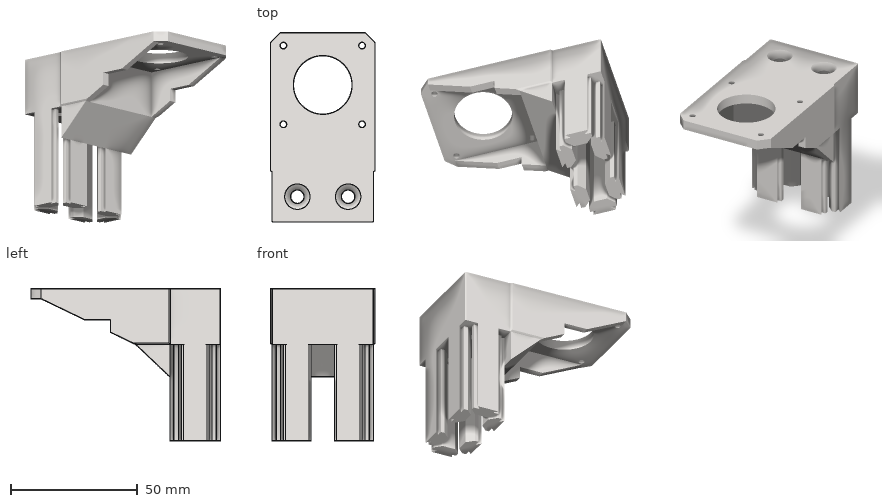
import cadquery as cq

pitch = 20.0
block_width = 2 * pitch
block_depth = pitch
block_height = 22.0
corner_chamfer = 0.3

motor_size = 41.3
total_depth = 74.66
motor_y = total_depth - motor_size / 2
motor_front_y = total_depth - motor_size
plate_thickness = 4.0
motor_corner = 4.0
boss_diameter = 23.0
screw_spacing = 31.0
screw_diameter = 2.5
wall_thickness = 3.0
window_length = 21.3
window_top = -12.3

overhang = (motor_size - block_width) / 2
bevel_start_y = block_depth - corner_chamfer
bevel_end_y = bevel_start_y + overhang

gusset_bottom = -34.7

fixing_diameter = 5.2
countersink_diameter = 10.0
countersink_angle = 85.0

key_bottom = -59.92
key_mouth = 9.2
key_vee_depth = 1.5
key_lip_depth = 1.7
key_flange = 10.9
key_flange_depth = 3.35
key_depth = 6.1


def make_block():
    block = cq.Workplane("XY").box(block_width, block_depth, block_height, centered=(True, False, False))
    block = block.translate((0, 0, -block_height))
    return block.faces("<Y").edges("|Z").chamfer(corner_chamfer)


def make_gusset():
    profile = [
        (bevel_start_y, -overhang),
        (motor_front_y, -overhang),
        (motor_front_y, -block_height),
        (block_depth, gusset_bottom),
        (block_depth, -block_height),
        (bevel_start_y, -block_height),
    ]
    return cq.Workplane("YZ").polyline(profile).close().extrude(block_width / 2, both=True)


def make_motor_mount():
    half_width = motor_size / 2
    slope_start_y = total_depth - motor_corner
    outline = [
        (-block_width / 2, bevel_start_y),
        (-half_width, bevel_end_y),
        (-half_width, slope_start_y),
        (motor_corner - half_width, total_depth),
        (half_width - motor_corner, total_depth),
        (half_width, slope_start_y),
        (half_width, bevel_end_y),
        (block_width / 2, bevel_start_y),
    ]
    side = [
        (bevel_start_y, 0),
        (total_depth, 0),
        (total_depth, -plate_thickness),
        (slope_start_y, -plate_thickness),
        (motor_front_y, -block_height),
        (bevel_start_y, -block_height),
    ]
    end = [
        (-half_width, 0),
        (half_width, 0),
        (half_width, overhang - block_height),
        (block_width / 2, -block_height),
        (-block_width / 2, -block_height),
        (-half_width, overhang - block_height),
    ]
    mount = cq.Workplane("XY").polyline(outline).close().extrude(-block_height)
    mount = mount.intersect(cq.Workplane("YZ").polyline(side).close().extrude(motor_size, both=True))
    return mount.intersect(cq.Workplane("XZ").polyline(end).close().extrude(-total_depth))


def box_below(width, front_y, top_z):
    """Cutting box from front_y to the far end of the part, reaching down from top_z."""
    box = cq.Workplane("XY").box(width, total_depth - front_y, block_height, centered=(True, False, False))
    return box.translate((0, front_y, top_z - block_height))


def make_key():
    """Key at the middle of the front face, pointing into +Y."""
    mouth = key_mouth / 2
    neck = mouth - key_vee_depth
    flange = key_flange / 2
    tip = flange - (key_depth - key_flange_depth)
    right_half = [
        (mouth, 0),
        (neck, key_vee_depth),
        (neck, key_lip_depth),
        (flange, key_lip_depth),
        (flange, key_flange_depth),
        (tip, key_depth),
    ]
    left_half = [(-x, y) for x, y in reversed(right_half)]
    key = cq.Workplane("XY").workplane(offset=key_bottom).polyline(right_half + left_half).close()
    return key.extrude(-block_height - key_bottom)


def place_key(x, y, turn):
    return make_key().rotate((0, 0, 0), (0, 0, 1), turn).translate((x, y, 0))


def add_keys(body):
    for side in (-1, 1):
        body = body.union(place_key(side * pitch / 2, 0, 0))
        body = body.union(place_key(side * pitch / 2, block_depth, 180))
        body = body.union(place_key(side * block_width / 2, block_depth / 2, side * 90))
    return body


def cut_fixing_holes(body):
    spots = [(-pitch / 2, block_depth / 2), (pitch / 2, block_depth / 2)]
    top = cq.Workplane("XY").add(body).faces(">Z").workplane(origin=(0, 0, 0))
    return top.pushPoints(spots).cskHole(fixing_diameter, countersink_diameter, countersink_angle, block_height)


def cut_motor_holes(body):
    centre = cq.Workplane("XY").center(0, motor_y)
    boss = centre.circle(boss_diameter / 2).extrude(-plate_thickness)
    screws = centre.rect(screw_spacing, screw_spacing, forConstruction=True).vertices()
    return body.cut(boss).cut(screws.circle(screw_diameter / 2).extrude(-plate_thickness))


mount = make_motor_mount().union(make_gusset())
mount = mount.cut(box_below(motor_size - 2 * wall_thickness, motor_front_y, -plate_thickness))
mount = mount.cut(box_below(motor_size, motor_y - window_length / 2, window_top))
result = add_keys(make_block().union(mount))
result = cut_fixing_holes(result)
result = cut_motor_holes(result)